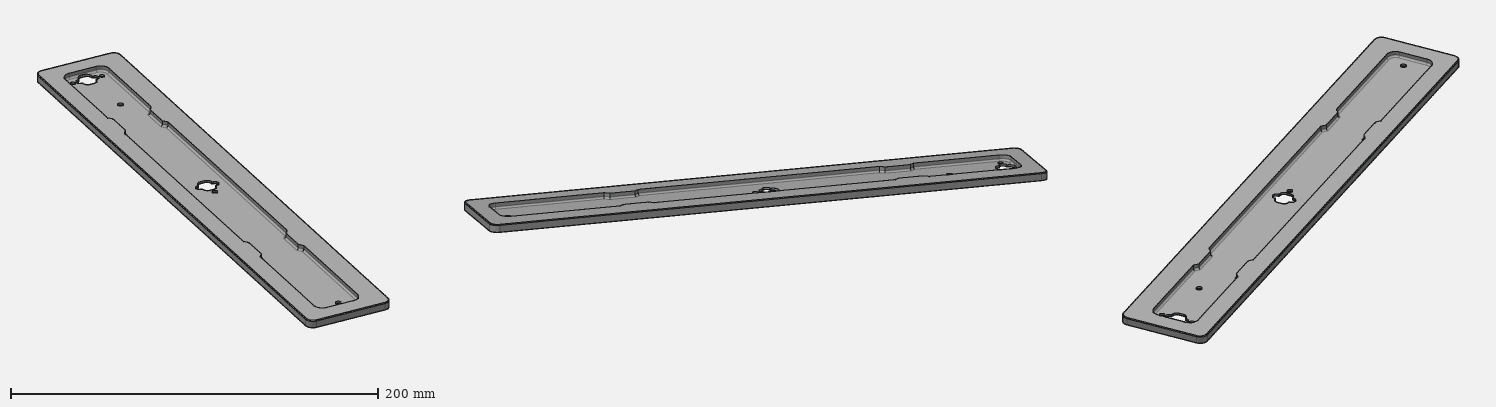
import cadquery as cq

length = 320.5
width = 51.0
thickness = 4.5
corner_radius = 4.5
top_chamfer = 0.48

pocket_length = 300.0
pocket_width = 27.0
pocket_y = -1.12
pocket_depth = 3.2
pocket_corner = 5.0
floor_fillet = 1.12

tab_reach = 2.1
tab_flat = 14.5
tab_ramp = 2.5
tab_xs = (-86.0, 72.5)

window_length = 11.0
window_width = 8.3
window_corner = 3.0
slot_span = 13.8
slot_width = 4.2
end_opening = (-144.3, -1.3)
middle_opening = (-7.7, 0.3)

end_screw_diameter = 2.8
end_screw_offset = 9.0
pin_diameter = 3.0
pin_position = (0.48, 0.8)
locating_diameter = 3.2
locating_y = 1.45
locating_xs = (-111.0, 143.0)


def make_plate():
    plate = cq.Workplane("XY").box(length, width, thickness, centered=(True, True, False))
    plate = plate.edges("|Z").fillet(corner_radius)
    return plate.faces(">Z").chamfer(top_chamfer)


def make_tab(x, side):
    """Tapered tab on the +Y (side=1) or -Y (side=-1) pocket wall."""
    wall = side * pocket_width / 2
    tip = wall - side * tab_reach
    half_flat = tab_flat / 2
    half_base = half_flat + tab_ramp
    outline = [
        (x - half_base, wall),
        (x - half_flat, tip),
        (x + half_flat, tip),
        (x + half_base, wall),
    ]
    return cq.Workplane("XY").polyline(outline).close().extrude(pocket_depth)


def make_pocket():
    pocket = cq.Workplane("XY").box(
        pocket_length, pocket_width, pocket_depth, centered=(True, True, False)
    )
    pocket = pocket.edges("|Z").fillet(pocket_corner)
    for x in tab_xs:
        for side in (-1, 1):
            pocket = pocket.cut(make_tab(x, side))
    pocket = pocket.faces("<Z").edges().fillet(floor_fillet)
    return pocket.translate((0, pocket_y, thickness - pocket_depth))


def make_keyed_opening(position):
    window = cq.Workplane("XY").rect(window_length, window_width).extrude(thickness)
    window = window.edges("|Z").fillet(window_corner)
    slot = cq.Workplane("XY").slot2D(slot_span, slot_width, 90).extrude(thickness)
    return window.union(slot).translate((*position, 0))


def make_holes(diameter, positions):
    return cq.Workplane("XY").pushPoints(positions).circle(diameter / 2).extrude(thickness)


end_x, end_y = end_opening
end_screws = [(end_x, end_y + side * end_screw_offset) for side in (-1, 1)]
locating_holes = [(x, locating_y) for x in locating_xs]

result = (
    make_plate()
    .cut(make_pocket())
    .cut(make_keyed_opening(end_opening))
    .cut(make_keyed_opening(middle_opening))
    .cut(make_holes(end_screw_diameter, end_screws))
    .cut(make_holes(pin_diameter, [pin_position]))
    .cut(make_holes(locating_diameter, locating_holes))
)